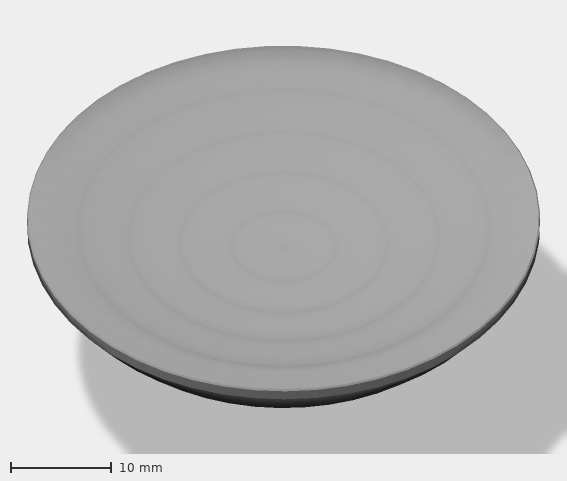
import cadquery as cq

outer_radius = 25.4
total_height = 14.75
edge_height = 1.2
rim_bevel = 0.15
top_sag = 4.05

edge_bottom = total_height - edge_height
bevel_bottom = total_height - rim_bevel
dish_radius = outer_radius - rim_bevel


def sphere_radius(half_chord, sag):
    """Radius of the sphere whose cap has this half chord and depth."""
    return (half_chord**2 + sag**2) / (2 * sag)


def point_on_cap(sphere, lowest_height, radius):
    """Profile point at this radius on an upward-opening spherical cap."""
    return (radius, lowest_height + sphere - (sphere**2 - radius**2) ** 0.5)


underside_sphere = sphere_radius(outer_radius, edge_bottom)
top_sphere = sphere_radius(dish_radius, top_sag)
dish_bottom = total_height - top_sag

half_section = (
    cq.Workplane("XZ")
    .moveTo(0, 0)
    .threePointArc(point_on_cap(underside_sphere, 0, outer_radius / 2), (outer_radius, edge_bottom))
    .lineTo(outer_radius, bevel_bottom)
    .lineTo(dish_radius, total_height)
    .threePointArc(point_on_cap(top_sphere, dish_bottom, dish_radius / 2), (0, dish_bottom))
    .close()
)

result = half_section.revolve(360, (0, 0, 0), (0, 1, 0))